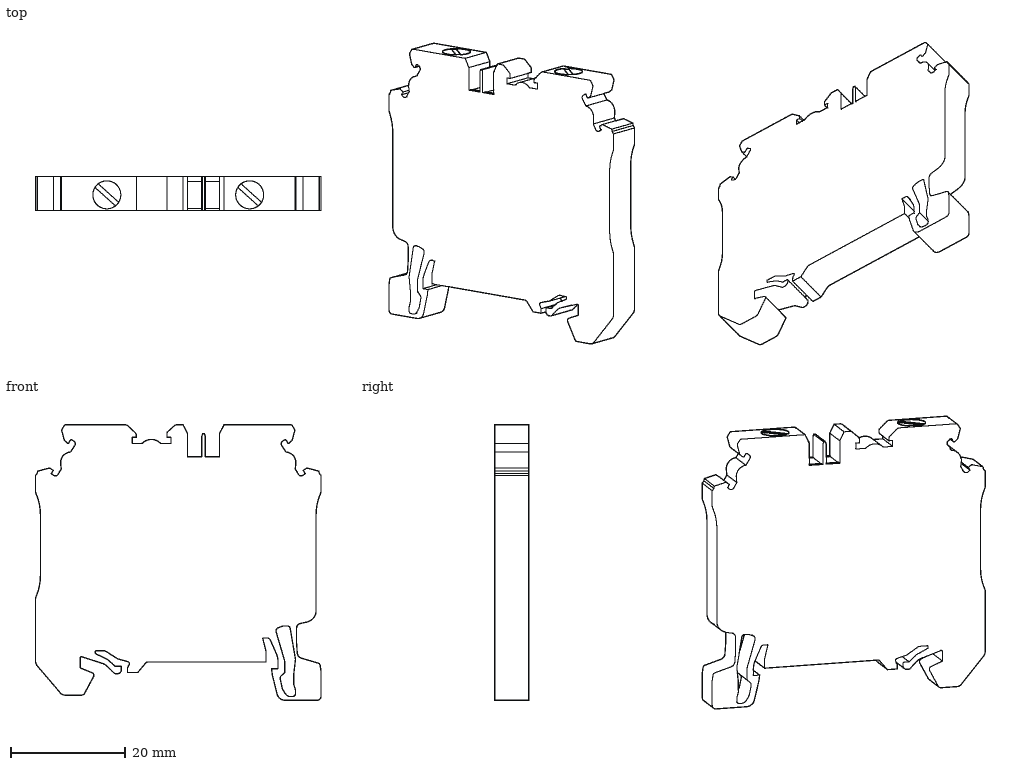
import cadquery as cq
import math

length = 50.0
thickness = 6.0
height = 48.25
foot_level = 0.9
belly_level = 6.7
waist_inset = 0.85
waist_radius = 9.0
touching = 0.0005
mark_depth = 0.1
insert_y = -0.225


def mirrored(points):
    """Mirror (x, z[, radius]) points end for end, keeping the travel direction."""
    return [(length - x, *rest) for x, *rest in reversed(points)]


def rounded_outline(points):
    """Closed XZ outline through (x, z[, radius]) corners, each blended by a tangent arc."""
    sketch = None
    for i, (x, z, *radius) in enumerate(points):
        corner = cq.Vector(x, z)
        if radius:
            to_previous = (cq.Vector(*points[i - 1][:2]) - corner).normalized()
            to_next = (cq.Vector(*points[(i + 1) % len(points)][:2]) - corner).normalized()
            half_angle = to_previous.getAngle(to_next) / 2
            setback = radius[0] / math.tan(half_angle)
            rise = radius[0] / math.sin(half_angle) - radius[0]
            entry = corner + to_previous * setback
            middle = corner + (to_previous + to_next).normalized() * rise
            leave = corner + to_next * setback
        else:
            entry = corner
        if sketch is None:
            sketch = cq.Workplane("XZ").moveTo(entry.x, entry.y)
        elif (entry - end).Length > touching:
            sketch = sketch.lineTo(entry.x, entry.y)
        end = entry
        if radius:
            sketch = sketch.threePointArc((middle.x, middle.y), (leave.x, leave.y))
            end = leave
    return sketch.close()


shoulder = [
    (waist_inset, 34.35, waist_radius),
    (0, 36.4, 0.75),
    (0, 39.35),
    (0.3, 39.75),
    (0.4, 40.15),
    (2.5, 40.7, 0.25),
    (3.15, 40.25),
    (2.8, 39.7),
    (3.65, 39.05, 0.55),
    (4.5, 40.5),
    (4.2, 43.25, 1.9),
    (6.15, 43.5),
    (7.15, 45.05, 0.5),
    (6.2, 45.7, 0.2),
    (5.75, 44.9, 0.15),
    (5.05, 45.5, 0.25),
    (4.55, 47.35, 0.45),
    (5.15, height, 0.35),
]

groove_floor = 45.0
groove_lip = 46.05
rib_center = 20.3
rib_half_width = 1.6
rib_height = 0.7
rib_foot_radius = 0.2
rib_radius = (rib_half_width - rib_height) / (math.sqrt(2) - 1)
marker_groove = [
    (16.0, height, 0.6),
    (17.65, 46.7, 0.4),
    (17.65, groove_lip),
    (16.95, groove_lip),
    (16.95, groove_floor),
    (rib_center - rib_half_width, groove_floor, rib_foot_radius),
    (rib_center, groove_floor + rib_half_width, rib_radius),
    (rib_center + rib_half_width, groove_floor, rib_foot_radius),
    (23.7, groove_floor),
    (23.7, groove_lip),
    (23.0, groove_lip),
    (23.0, 46.9, 0.4),
    (24.5, height, 0.6),
]

slot_floor = 42.65
slot_left = 26.65
slot_right = 32.2
slot_mouth = 46.7
fin_left = 29.1
fin_right = 29.75
fin_taper = 0.15
fin_slot = [
    (25.85, height),
    (slot_left, slot_mouth),
    (slot_left, slot_floor),
    (fin_left, slot_floor),
    (fin_left, slot_mouth - 0.5),
    (fin_left + fin_taper, slot_mouth),
    (fin_right - fin_taper, slot_mouth),
    (fin_right, slot_mouth - 0.5),
    (fin_right, slot_floor),
    (slot_right, slot_floor),
    (slot_right, slot_mouth),
    (33.0, height),
]

right_foot = [
    (length - waist_inset, 14.05, 2.1),
    (45.75, 13.3, 0.75),
    (45.7, 10.5),
    (45.9, 7.6, 1.0),
    (49.8, 6.45, 0.5),
    (length, 5.2),
    (length, 0, 0.7),
    (42.55, 0, 1.5),
    (41.45, 4.45),
    (41.3, 5.55),
    (42.45, 5.55),
    (42.45, 7.5, 4.0),
    (40.95, 10.9, 0.6),
    (39.8, 10.9),
    (40.4, 8.5),
    (40.4, belly_level),
]

left_foot = [
    (19.45, belly_level, 0.5),
    (17.9, 4.85),
    (16.1, 4.85),
    (16.1, 5.7),
    (16.6, 6.65, 0.35),
    (14.4, 7.25),
    (12.2, 8.65, 0.5),
    (10.5, 8.65, 0.1),
    (10.5, 8.2, 0.15),
    (12.6, 7.2),
    (13.95, 6.0),
    (15.05, 6.0, 0.2),
    (15.05, 4.65, 0.7),
    (13.9, 4.65, 0.4),
    (12.2, 6.3, 2.0),
    (7.85, 7.7, 0.2),
    (7.85, 5.7),
    (10.45, 4.65, 0.5),
    (8.45, foot_level, 0.6),
    (4.7, foot_level, 1.0),
    (0, 6.4, 1.35),
    (0, 17.95, 1.0),
    (waist_inset, 19.95, waist_radius),
]

spring_window = [
    (42.0, 12.5, 0.6),
    (43.3, 13.0, 1.0),
    (44.5, 13.0, 0.4),
    (45.5, 7.2, 1.5),
    (45.2, 4.65),
    (45.2, 2.8),
    (45.5, 1.8),
    (45.5, 0.7, 0.45),
    (44.05, 0.7, 1.0),
    (43.25, 2.0, 0.75),
    (42.8, 4.1, 0.6),
    (43.65, 4.85),
    (43.65, 6.9, 1.0),
]


def housing():
    outline = shoulder + marker_groove + fin_slot + mirrored(shoulder) + right_foot + left_foot
    plate = rounded_outline(outline).extrude(thickness / 2, both=True)
    window = rounded_outline(spring_window).extrude(thickness / 2, both=True)
    return plate.cut(window)


screw_diameter = 4.9
screw_offset = 12.5
driver_slot_width = 0.85
driver_slot_angle = -42.0


def screw_recess(x):
    head = cq.Workplane("XY").circle(screw_diameter / 2).extrude(-mark_depth)
    driver_slot = (
        cq.Workplane("XY")
        .rect(screw_diameter, driver_slot_width)
        .extrude(-2 * mark_depth)
        .intersect(cq.Workplane("XY").circle(screw_diameter / 2).extrude(-2 * mark_depth))
        .rotate((0, 0, 0), (0, 0, 1), driver_slot_angle)
    )
    return head.union(driver_slot).translate((x, insert_y, height))


bar_width = 4.7


def bar_recess(left, right):
    recess = cq.Workplane("XY").box(right - left, bar_width, mark_depth, centered=(False, True, False))
    return recess.translate((left, insert_y, slot_floor - mark_depth))


funnel_bottom = 21.95
funnel_top = 32.35
funnel_floor_bottom = 24.05
funnel_floor_top = 29.25
funnel_floor_width = 3.45


def left_funnel():
    mouth_center = (funnel_bottom + funnel_top) / 2
    floor_center = (funnel_floor_bottom + funnel_floor_top) / 2
    return (
        cq.Workplane("YZ", origin=(waist_inset, 0, mouth_center))
        .rect(thickness, funnel_top - funnel_bottom)
        .workplane(offset=mark_depth)
        .center(insert_y, floor_center - mouth_center)
        .rect(funnel_floor_width, funnel_floor_top - funnel_floor_bottom)
        .loft(ruled=True)
    )


result = housing()
for screw_x in (screw_offset, length - screw_offset):
    result = result.cut(screw_recess(screw_x))
result = result.cut(bar_recess(slot_left, fin_left))
result = result.cut(bar_recess(fin_right, slot_right))
funnel = left_funnel()
result = result.cut(funnel)
result = result.cut(funnel.mirror("YZ", (length / 2, 0, 0)))